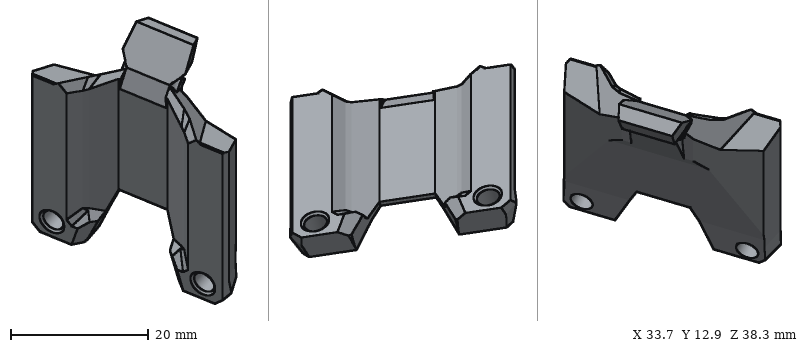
import cadquery as cq

channel_half_width = 4.15
channel_depth = 4.4
channel_knee = (7.85, 2.25)
channel_step = (8.62, 1.72)
channel_edge = (10.35, 0)
front_outer_x = 16.2
side_ridge = (16.67, 1.0)
side_back = (15.5, 5.0)
back_shoulder = (5.55, 7.63)

foot_back = (4.8, 6.8)
back_bend = (7.05, 23.5)
neck_back = (10.2, 33.25)
stock_height = 38.32

neck_front_base = (channel_depth, 30.27)
neck_front_top = (5.85, 33.53)
head_top_front = (10.6, 38.32)
head_top_back = (12.88, 37.6)
head_back_low = (11.55, 33.8)
head_wide_front = (7.45, 35.18)
neck_half_width_front = 3.68
neck_half_width_base = 3.95
neck_half_width_back = 3.5
head_half_width = 5.33
head_top_half_width = 4.85
head_back_half_width = 4.18
head_low_back_half_width = 4.05
neck_rounding = 1.0
collar_back_half_width = 4.15
collar_depth = 3.45
collar_drop = 3.45
collar_rise = 1.55

wing_top = 30.77
wing_top_drop = 1.65
crease_front = (12.25, 0.4, 30.55)
crease_back = (9.5, 6.5, 28.55)
shoulder_top = (*back_shoulder, 30.75)
front_bevel_height = 0.2
front_bevel_depth = 0.4

notch_top = 10.08
notch_bottom_x = 7.7
notch_bottom_z = 0.7
toe_x = 8.28
foot_bottom_rise = 0.85
flare_top = 4.8
flare_ridge = (17.0, 1.65)
flare_back_x = 15.75
corner_chamfer = 1.35
hole_x = 12.85
hole_z = 3.03
hole_diameter = 3.4
countersink_diameter = 4.2
countersink_depth = 0.4

space = 114.95


def half_space(a, b, c, inside):
    """Block bounded by the plane through a, b and c, on the side of the point inside."""
    origin = cq.Vector(*a)
    along = cq.Vector(*b) - origin
    normal = along.cross(cq.Vector(*c) - origin)
    if normal.dot(cq.Vector(*inside) - origin) < 0:
        normal = -normal
    plane = cq.Plane(origin=origin, xDir=along, normal=normal)
    return cq.Workplane(plane).rect(space, space).extrude(space)


def side_prism(points, half_width):
    """Extrude a (Y, Z) outline from X = 0 to half_width."""
    return cq.Workplane("YZ").polyline(points).close().extrude(half_width)


def at_x(x, point):
    """Place a (Y, Z) point at the given X."""
    return (x, point[0], point[1])


def make_wing():
    section = [
        (0, channel_depth),
        (channel_half_width, channel_depth),
        channel_knee,
        channel_step,
        channel_edge,
        (front_outer_x, 0),
        side_ridge,
        side_back,
        back_shoulder,
        (0, back_shoulder[1]),
    ]
    wing = cq.Workplane("XY").polyline(section).close().extrude(stock_height)
    envelope = [
        (0, 0),
        (foot_back[0], 0),
        foot_back,
        back_bend,
        neck_back,
        (neck_back[0], stock_height),
        (0, stock_height),
    ]
    return wing.intersect(side_prism(envelope, space))


def neck_width():
    """Everything inside the tapering side face of the neck."""
    return half_space(
        at_x(neck_half_width_base, neck_front_base),
        at_x(neck_half_width_front, neck_front_top),
        at_x(neck_half_width_back, neck_back),
        at_x(0, neck_back))


def trim_top(wing):
    above = (0, 0, space)
    end_back_z = wing_top - wing_top_drop
    outer_end = half_space(
        (0, 0, wing_top), (0.4, 0, wing_top), (0, side_back[1], end_back_z), above)
    rising_end = half_space(crease_front, crease_back, shoulder_top, above)
    wing = wing.cut(outer_end.intersect(rising_end))

    bevel_z = wing_top - front_bevel_height
    front_bevel = half_space(
        (0, 0, bevel_z), (0.4, 0, bevel_z), (0, front_bevel_depth, wing_top), above)
    wing = wing.cut(front_bevel.intersect(rising_end))

    outer_lip_base = (*channel_step, 29.8)
    inner_lip_base = (*channel_knee, 30.1)
    lip_back = (7.15, 4.05, 31.65)
    outer_lip = half_space((*channel_edge, 29.8), outer_lip_base, (9.2, 2.65, 31.3), above)
    middle_lip = half_space(outer_lip_base, inner_lip_base, lip_back, above)
    inner_lip = half_space(
        inner_lip_base, (channel_half_width, channel_depth, 32.2), lip_back, above)
    wing = wing.cut(outer_lip.intersect(middle_lip).intersect(inner_lip))

    over_base = half_space(
        (0, 0, neck_front_base[1]), (0.4, 0, neck_front_base[1]), (0, 0.4, neck_front_base[1]), above)
    return wing.cut(neck_width().intersect(over_base))


def make_neck():
    outline = [
        neck_front_base,
        neck_front_top,
        neck_back,
        back_bend,
        (channel_depth, back_bend[1]),
    ]
    return side_prism(outline, space).intersect(neck_width())


def make_collar():
    """Wider rear part of the neck under the head, with a hollow-rounded front edge."""
    front_foot = cq.Vector(0, *neck_front_top)
    upward = (cq.Vector(0, *head_top_front) - front_foot).normalized()
    plane = cq.Plane(origin=front_foot - upward * collar_drop, xDir=(1, 0, 0), normal=upward)
    side_x = neck_half_width_front + neck_rounding
    collar = (
        cq.Workplane(plane)
        .lineTo(neck_half_width_front, 0)
        .radiusArc((side_x, neck_rounding), neck_rounding)
        .lineTo(collar_back_half_width, collar_depth)
        .lineTo(0, collar_depth)
        .close()
        .extrude(collar_drop + collar_rise)
    )
    outline = [
        neck_front_base,
        neck_front_top,
        head_top_front,
        neck_back,
        back_bend,
        (channel_depth, back_bend[1]),
    ]
    return collar.intersect(side_prism(outline, space))


def make_head():
    outline = [neck_front_top, head_top_front, head_top_back, head_back_low, neck_back]
    head = side_prism(outline, head_half_width)
    core = (0, *head_wide_front)
    upper_side = half_space(
        at_x(head_top_half_width, head_top_front),
        at_x(head_back_half_width, head_top_back),
        at_x(head_half_width, head_wide_front), core)
    lower_side = half_space(
        at_x(neck_half_width_front, neck_front_top),
        at_x(head_half_width, head_wide_front),
        at_x(head_low_back_half_width, head_back_low), core)
    return head.intersect(upper_side).intersect(lower_side)


def make_channel_stop():
    """Faceted block that closes the channel above the foot."""
    below = (9.58, 1.9, -space)
    end_z = 4.6
    ledge_z = 3.7
    inner_x = 8.45
    ledge_back = (7.13, 1.1, 5.05)
    block = cq.Workplane("XY").box(
        channel_edge[0], channel_depth, 6.5, centered=False)
    bevel = half_space(
        (*channel_edge, end_z), (*channel_step, 6.4), (9.45, 0, ledge_z), below)
    ledge = half_space((9.45, 0, ledge_z), (inner_x, 0, ledge_z), ledge_back, below)
    inner_face = half_space(
        (9.5, 0, 0), (inner_x, 0, ledge_z), (6.1, 1.9, 4.68), (space, 0, 0))
    top_facet = half_space((*channel_knee, 6.3), (6.15, 3.2, 5.85), ledge_back, below)
    filled = block.intersect(bevel).union(block.intersect(ledge))
    return filled.intersect(inner_face).intersect(top_facet)


def make_flare():
    """Outer side of the foot, spreading slightly towards the bottom."""
    root_x = side_back[0] - 0.4
    front = [(root_x, foot_back[0]), (root_x, 0), (front_outer_x, 0)]
    lower = front + [flare_ridge, (flare_back_x, foot_back[0])]
    side_slope = (side_back[0] - side_ridge[0]) / (side_back[1] - side_ridge[1])
    upper_back_x = side_ridge[0] + side_slope * (foot_back[0] - side_ridge[1])
    upper = front + [side_ridge, (upper_back_x, foot_back[0])]
    return (
        cq.Workplane("XY").polyline(lower).close()
        .workplane(offset=flare_top).polyline(upper).close()
        .loft(ruled=True)
    )


def trim_foot(body):
    notch = (
        cq.Workplane("XZ")
        .polyline([
            (0, notch_top), (channel_half_width, notch_top), (notch_bottom_x, notch_bottom_z),
            (toe_x, 0), (toe_x, -0.4), (0, -0.4),
        ])
        .close().extrude(-space)
    )
    underside = half_space(
        (0, 0, 0), (1, 0, 0), (0, foot_back[0], foot_bottom_rise), (0, 0, -space))
    corner = half_space(
        (front_outer_x, 0, corner_chamfer), (front_outer_x - corner_chamfer, 0, 0),
        (front_outer_x, 0.4, corner_chamfer), (space, 0, 0))
    side_chamfer = half_space(
        (16.85, 1.38, 2.05), (15.67, 4.95, 2.05), (15.4, 0.4, 0), (space, 0, 0))
    hole = cq.Workplane("XZ").center(hole_x, hole_z).circle(hole_diameter / 2).extrude(-space)
    countersink = cq.Workplane(cq.Solid.makeCone(
        countersink_diameter / 2, hole_diameter / 2, countersink_depth,
        cq.Vector(hole_x, 0, hole_z), cq.Vector(0, 1, 0)))
    for cutter in (notch, underside, corner, side_chamfer, hole, countersink):
        body = body.cut(cutter)
    return body


wing = trim_top(make_wing())
upper = wing.union(make_neck()).union(make_collar()).union(make_head())
half = trim_foot(upper.union(make_channel_stop()).union(make_flare()))
result = half.union(half.mirror("YZ")).clean()